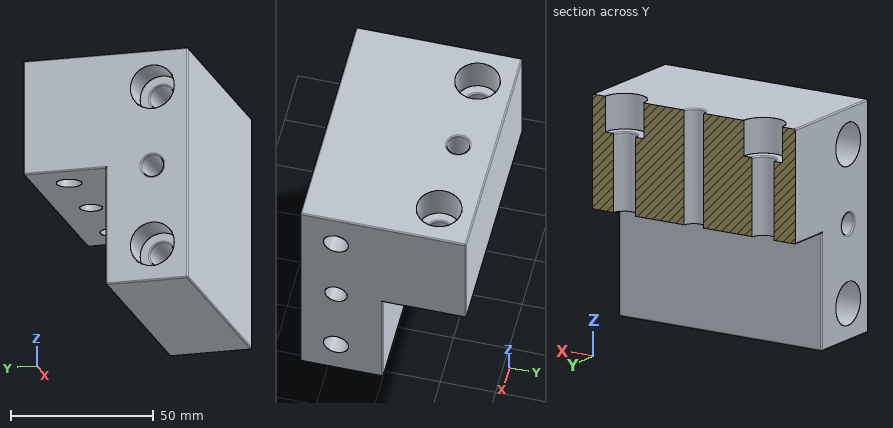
import cadquery as cq

width = 85.0
depth = 60.0
height = 85.0
edge_radius = 0.5

leg_thickness = 30.0
arm_thickness = 42.0

hole_edge_offset = 13.0
hole_end_offset = 13.5
bolt_diameter = 9.0
rim_radius = 0.5
counterbore_diameter = 16.0
counterbore_depth = 13.0
pin_diameter = 8.0


def l_block():
    """L-section block with rounded outer edges, minimum corner at the origin."""
    block = cq.Workplane("XY").box(width, depth, height, centered=False)
    notch = (
        cq.Workplane("XY")
        .box(width, depth - leg_thickness, height - arm_thickness, centered=False)
        .translate((0, leg_thickness, 0))
    )
    margin = edge_radius
    inner_corner = cq.selectors.BoxSelector(
        (0, leg_thickness - margin, height - arm_thickness - margin),
        (width, leg_thickness + margin, height - arm_thickness + margin),
    )
    outer_edges = cq.selectors.SubtractSelector(
        cq.selectors.StringSyntaxSelector("|X or |Y or |Z"), inner_corner
    )
    return block.cut(notch).edges(outer_edges).fillet(edge_radius)


def cylinder(diameter, length, direction, start):
    return cq.Workplane(cq.Solid.makeCylinder(diameter / 2, length, start, direction))


def round_mouthed_bore(diameter, length, direction, start):
    """Bore whose mouth flares out to meet the face at start in a quarter round."""
    bore = cylinder(diameter, length, direction, start)
    flare = cylinder(diameter + 2 * rim_radius, rim_radius, direction, start)
    ring = cq.Workplane(
        cq.Solid.makeTorus(diameter / 2 + rim_radius, rim_radius, start + direction * rim_radius, direction)
    )
    return bore.union(flare.cut(ring))


def bolt_hole(start, direction, length):
    """Counterbored through hole with a rounded rim at the counterbore floor."""
    floor = start + direction * counterbore_depth
    counterbore = cylinder(counterbore_diameter, counterbore_depth, direction, start)
    bore = round_mouthed_bore(bolt_diameter, length - counterbore_depth, direction, floor)
    return counterbore.union(bore)


def pin_hole(start, direction, length):
    """Plain through hole with a rounded mouth."""
    return round_mouthed_bore(pin_diameter, length, direction, start)


result = l_block()

down = cq.Vector(0, 0, -1)
row_y = depth - hole_edge_offset
for x in (hole_end_offset, width - hole_end_offset):
    result = result.cut(bolt_hole(cq.Vector(x, row_y, height), down, arm_thickness))
result = result.cut(pin_hole(cq.Vector(width / 2, row_y, height), down, arm_thickness))

across = cq.Vector(1, 0, 0)
for z in (hole_end_offset, height - hole_end_offset):
    result = result.cut(bolt_hole(cq.Vector(0, hole_edge_offset, z), across, width))
result = result.cut(pin_hole(cq.Vector(0, hole_edge_offset, height / 2), across, width))